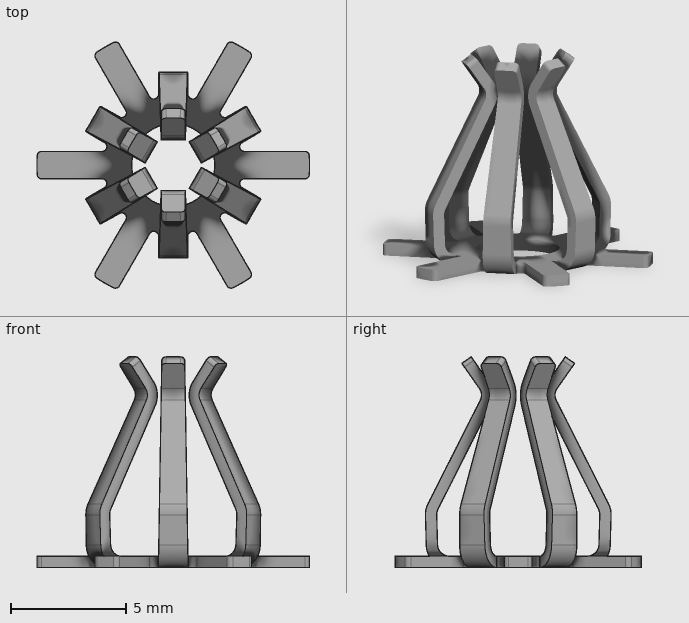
import cadquery as cq
import math


arm_count = 6
arm_pitch = 360 / arm_count

thickness = 0.5
hole_radius = 1.8
leg_reach = 5.925
leg_width = 1.2
leg_corner_radius = 0.2
notch_radius = 0.2

bend_start = 3.0
bend_radius = 0.5
root_width = 1.3
tip_width = 1.0
tip_corner_radius = 0.2

upright_length = 1.31
upright_elevation = 88.5
slant_length = 5.045
slant_elevation = 116.8
flare_length = 1.33
flare_elevation = 55.0


def direction(angle):
    """Unit vector at an angle in degrees."""
    return cq.Vector(math.cos(math.radians(angle)), math.sin(math.radians(angle)))


def spin_copies(body):
    """Copies of a body turned about Z to every arm position."""
    return [
        body.rotate((0, 0, 0), (0, 0, 1), i * arm_pitch)
        for i in range(arm_count)
    ]


def make_base_sector():
    """One leg along +X with its share of the hub, up to the neighbouring finger centrelines."""
    finger_angle = arm_pitch / 2
    along = direction(finger_angle)
    across = direction(finger_angle - 90)

    side_gap = leg_width / 2 + notch_radius
    finger_gap = root_width / 2 + notch_radius
    notch_x = (finger_gap + side_gap * along.x) / along.y
    notch_centre = cq.Vector(notch_x, side_gap)

    end_drop = notch_centre.dot(along) - bend_start
    end_offset = finger_gap - math.sqrt(notch_radius**2 - end_drop**2)
    notch_middle = notch_centre - notch_centre.normalized() * notch_radius
    notch_end = along * bend_start + across * end_offset
    finger_root = along * bend_start

    tip_angle = math.degrees(math.asin(leg_width / 2 / leg_reach))
    tip_corner = direction(tip_angle) * leg_reach
    tip_middle = direction(tip_angle / 2) * leg_reach

    half = (
        cq.Workplane("XY")
        .lineTo(leg_reach, 0)
        .threePointArc((tip_middle.x, tip_middle.y), (tip_corner.x, tip_corner.y))
        .lineTo(notch_x, leg_width / 2)
        .threePointArc((notch_middle.x, notch_middle.y), (notch_end.x, notch_end.y))
        .lineTo(finger_root.x, finger_root.y)
        .close()
        .extrude(thickness)
        .edges(cq.selectors.NearestToPointSelector((tip_corner.x, tip_corner.y, thickness / 2)))
        .fillet(leg_corner_radius)
    )
    return half.union(half.mirror("XZ"))


def make_base():
    base = cq.Workplane("XY")
    for sector in spin_copies(make_base_sector()):
        base = base.union(sector)
    hole = cq.Workplane("XY").circle(hole_radius).extrude(thickness)
    return base.cut(hole)


def finger_centreline():
    """Wire in the YZ plane along the middle of the sheet, and its end point."""
    middle_radius = bend_radius + thickness / 2
    stretches = [
        (upright_elevation, upright_length),
        (slant_elevation, slant_length),
        (flare_elevation, flare_length),
    ]
    point = cq.Vector(bend_start, thickness / 2)
    heading = 0
    path = cq.Workplane("YZ").moveTo(point.x, point.y)
    for elevation, length in stretches:
        turn = math.copysign(90, elevation - heading)
        centre = point + direction(heading + turn) * middle_radius
        bend_middle = centre - direction((heading + elevation) / 2 + turn) * middle_radius
        bend_end = centre - direction(elevation + turn) * middle_radius
        point = bend_end + direction(elevation) * length
        path = path.threePointArc((bend_middle.x, bend_middle.y), (bend_end.x, bend_end.y))
        path = path.lineTo(point.x, point.y)
        heading = elevation
    return path, point


def make_finger():
    """One finger bent up on the +Y side, narrowing from root to tip."""
    path, tip = finger_centreline()
    strip = (
        cq.Workplane("XZ", origin=(0, bend_start, 0))
        .center(0, thickness / 2)
        .rect(root_width, thickness)
        .sweep(path)
    )

    top = tip.y + thickness / 2 * abs(direction(flare_elevation).x)
    taper = (
        cq.Workplane("XZ")
        .moveTo(-root_width / 2, 0)
        .lineTo(root_width / 2, 0)
        .lineTo(tip_width / 2, top)
        .lineTo(-tip_width / 2, top)
        .close()
        .extrude(-leg_reach)
    )
    tip_face = cq.selectors.NearestToPointSelector((0, tip.x, tip.y))
    return strip.intersect(taper).faces(tip_face).edges("not |X").fillet(tip_corner_radius)


result = make_base()
for finger in spin_copies(make_finger()):
    result = result.union(finger)